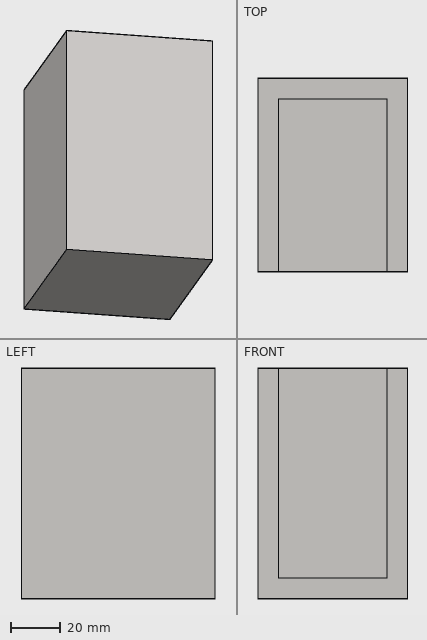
import cadquery as cq

width = 61.0
depth = 79.0
height = 94.0

wall = 8.5

CORNER = (False, False, False)

block = cq.Workplane("XY").box(width, depth, height, centered=CORNER)

cavity = (
    cq.Workplane("XY")
    .box(width - 2 * wall, depth - wall, height - wall, centered=CORNER)
    .translate((wall, 0, wall))
)

result = block.cut(cavity)